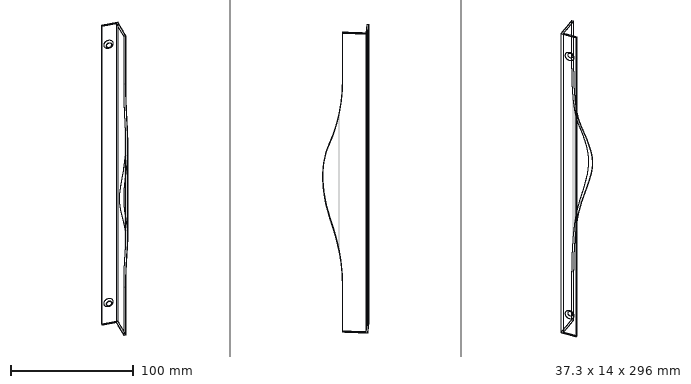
import cadquery as cq
import math

length = 296.0
total_width = 37.3
leg_depth = 14.0

leg_thickness = 1.5
flange_thickness = 1.8
flange_width = 20.7

curl_start = 23.5
curl_radius = 17.0

bulge_half_length = 100.5
crest_radius = 115.5

hole_diameter = 4.5
countersink_diameter = 8.0
hole_y = 6.0
hole_spacing = 255.7

flange_inner_y = leg_depth - flange_thickness


def curl_point(radius, angle):
    """Point on a curl arc, with the angle measured from the flange's outward normal."""
    center_y = leg_depth - curl_radius
    return (curl_start + radius * math.sin(angle), center_y + radius * math.cos(angle))


def make_profile():
    """Full-length L section whose lip curls through a quarter turn."""
    inner_radius = curl_radius - flange_thickness
    quarter = math.pi / 2
    return (
        cq.Workplane("XY")
        .workplane(offset=-length / 2)
        .moveTo(0, 0)
        .lineTo(0, leg_depth)
        .lineTo(curl_start, leg_depth)
        .threePointArc(curl_point(curl_radius, quarter / 2), curl_point(curl_radius, quarter))
        .lineTo(*curl_point(inner_radius, quarter))
        .threePointArc(curl_point(inner_radius, quarter / 2), (curl_start, flange_inner_y))
        .lineTo(leg_thickness, flange_inner_y)
        .lineTo(leg_thickness, 0)
        .close()
        .extrude(length)
    )


def make_outline():
    """Prism bounded by the straight flange edge and the tangent arcs of the bulge."""
    rise = total_width - flange_width
    radius_sum = (bulge_half_length**2 + rise**2) / (2 * rise)
    blend_radius = radius_sum - crest_radius
    blend_angle = math.asin(bulge_half_length / radius_sum)

    def blend_point(angle):
        return (
            flange_width + blend_radius * (1 - math.cos(angle)),
            bulge_half_length - blend_radius * math.sin(angle),
        )

    upper_end = blend_point(blend_angle)
    upper_middle = blend_point(blend_angle / 2)
    return (
        cq.Workplane("XZ")
        .moveTo(0, -length / 2)
        .lineTo(flange_width, -length / 2)
        .lineTo(flange_width, -bulge_half_length)
        .threePointArc((upper_middle[0], -upper_middle[1]), (upper_end[0], -upper_end[1]))
        .threePointArc((total_width, 0), upper_end)
        .threePointArc(upper_middle, (flange_width, bulge_half_length))
        .lineTo(flange_width, length / 2)
        .lineTo(0, length / 2)
        .close()
        .extrude(length, both=True)
    )


def make_screw_hole(z):
    """Conical cutter, widest on the leg's outer face."""
    return (
        cq.Workplane("YZ")
        .center(hole_y, z)
        .circle(countersink_diameter / 2)
        .workplane(offset=leg_thickness)
        .circle(hole_diameter / 2)
        .loft(combine=True)
    )


result = make_profile().intersect(make_outline())
for side in (-1, 1):
    result = result.cut(make_screw_hole(side * hole_spacing / 2))